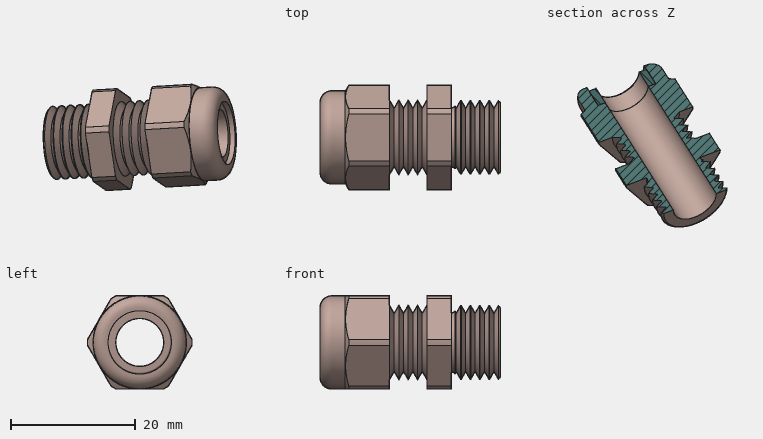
import cadquery as cq
import math


total_length = 28.96
across_flats = 14.99
across_corners = 16.78
corner_radius = across_corners / 2
bore_radius = 3.82

thread_radius = 6.0
pitch = 1.5
flank_slope = math.tan(math.radians(30))
root_radius = thread_radius - pitch / 2 / flank_slope
cutter_radius = thread_radius + 1.0

dome_radius = across_flats / 2
dome_round = 1.9
nut_hex_start = 4.05
nut_end = 11.15
hex_chamfer_start_radius = 7.39
hex_chamfer_slope = math.tan(math.radians(30))

seal_start = 0.8
seal_end = 4.1
seal_radius = 5.08
seal_round = 0.25

middle_groove_count = 4
flange_start = nut_end + middle_groove_count * pitch

flange_length = 3.94
flange_end = flange_start + flange_length

end_groove_count = 5
end_pitch = 1.515
end_thread_radius = 5.91
tip_chamfer = 0.35
undercut_radius = 4.77
undercut_end_radius = 5.03


def revolve_about_x(outline):
    """Turn a closed outline, drawn as (x, radius), around the X axis."""
    return outline.close().revolve(360, (0, 0, 0), (1, 0, 0))


def cylinder(start, end, radius):
    return cq.Workplane("YZ", origin=(start, 0, 0)).circle(radius).extrude(end - start)


def hexagon(start, end):
    """Hexagonal prism with flats facing Z and its corners turned down to a cylinder."""
    sharp_corner_diameter = across_flats / math.cos(math.radians(30))
    prism = cq.Workplane("YZ", origin=(start, 0, 0)).polygon(6, sharp_corner_diameter).extrude(end - start)
    return prism.intersect(cylinder(start, end, corner_radius))


def thread_groove(middle):
    """Ring-shaped V cutter that is one pitch wide at the thread radius."""
    half_width = (cutter_radius - root_radius) * flank_slope
    outline = (
        cq.Workplane("XY")
        .moveTo(middle, root_radius)
        .lineTo(middle + half_width, cutter_radius)
        .lineTo(middle - half_width, cutter_radius)
    )
    return revolve_about_x(outline)


def cut_thread(blank, start, groove_count, spacing):
    for i in range(groove_count):
        blank = blank.cut(thread_groove(start + (i + 0.5) * spacing))
    return blank


def make_dome():
    return cylinder(0, nut_hex_start, dome_radius).faces("<X").edges().fillet(dome_round)


def make_nut_hex():
    """Nut hexagon with its corners chamfered on the dome side."""
    chamfer_length = (corner_radius - hex_chamfer_start_radius) * hex_chamfer_slope
    outline = (
        cq.Workplane("XY")
        .moveTo(nut_hex_start, 0)
        .lineTo(nut_hex_start, hex_chamfer_start_radius)
        .lineTo(nut_hex_start + chamfer_length, corner_radius)
        .lineTo(nut_end, corner_radius)
        .lineTo(nut_end, 0)
    )
    return hexagon(nut_hex_start, nut_end).intersect(revolve_about_x(outline))


def make_middle_thread():
    blank = cylinder(nut_end, flange_start, thread_radius)
    return cut_thread(blank, nut_end, middle_groove_count, pitch)


def make_undercut():
    """Neck that leaves the flange as a cylinder and flares along an arc up to the first groove."""
    first_groove = flange_end + end_pitch / 2
    arc_end = first_groove - (undercut_end_radius - root_radius) * flank_slope
    run = arc_end - flange_end
    rise = undercut_end_radius - undercut_radius
    arc_radius = (run**2 + rise**2) / (2 * rise)
    half_angle = math.asin(run / arc_radius) / 2
    arc_middle = (
        flange_end + arc_radius * math.sin(half_angle),
        undercut_radius + arc_radius * (1 - math.cos(half_angle)),
    )
    outline = (
        cq.Workplane("XY")
        .moveTo(flange_end, 0)
        .lineTo(flange_end, undercut_radius)
        .threePointArc(arc_middle, (arc_end, undercut_end_radius))
        .lineTo(first_groove, root_radius)
        .lineTo(first_groove, 0)
    )
    return revolve_about_x(outline)


def make_end_thread():
    first_groove = flange_end + end_pitch / 2
    blank = cylinder(first_groove, total_length, end_thread_radius)
    blank = blank.faces(">X").edges().chamfer(tip_chamfer)
    return cut_thread(blank, flange_end, end_groove_count, end_pitch)


def make_gland():
    gland = make_dome()
    gland = gland.union(make_nut_hex())
    gland = gland.union(make_middle_thread())
    gland = gland.union(hexagon(flange_start, flange_end))
    gland = gland.union(make_undercut())
    gland = gland.union(make_end_thread())
    seal_pocket = cylinder(0, seal_end, seal_radius)
    bore = cylinder(seal_end, total_length, bore_radius)
    return gland.cut(seal_pocket).cut(bore)


def make_seal():
    ring = cylinder(seal_start, seal_end, seal_radius)
    ring = ring.faces("<X").edges().fillet(seal_round)
    return ring.cut(cylinder(seal_start, seal_end, bore_radius))


gland = make_gland()
seal = make_seal()
result = cq.Compound.makeCompound([gland.val(), seal.val()])